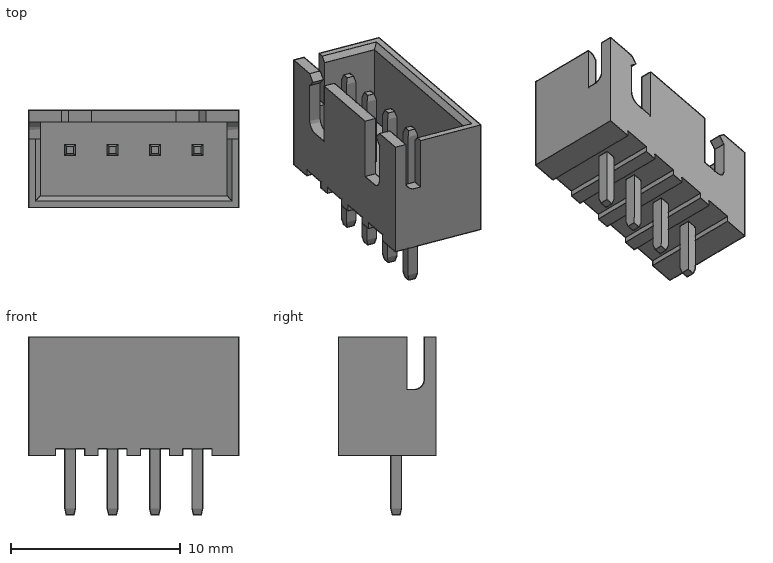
import cadquery as cq


PIN_COUNT = 4
PIN_PITCH = 2.5
PIN_SIZE = 0.64
PIN_TOP = 6.5
PIN_BOTTOM = -3.5
PIN_TIP_HEIGHT = 0.38
TOP_TIP_SIZE = 0.42
BOTTOM_TIP_SIZE = 0.46
PIN_XS = [(i - (PIN_COUNT - 1) / 2) * PIN_PITCH for i in range(PIN_COUNT)]

END_MARGIN = 2.45
FRONT_MARGIN = 3.4
BACK_MARGIN = 2.35
BODY_HEIGHT = 7.0
WALL = 0.7
FLOOR_TOP = 2.0
BODY_LENGTH = (PIN_COUNT - 1) * PIN_PITCH + 2 * END_MARGIN
BODY_END = BODY_LENGTH / 2
INNER_END = BODY_END - WALL
INNER_BACK = BACK_MARGIN - WALL
INNER_FRONT = WALL - FRONT_MARGIN

BEVEL_WIDTH = 0.3
BEVEL_DEPTH = 0.3

END_SLOT_DEPTH = 3.1
BACK_SLOT_DEPTH = 3.7
SLOT_RADIUS = 0.6
END_SLOT_WIDTH = 1.0
BACK_SLOT_WIDTH = 1.75
LATCH_TAB_WIDTH = 1.95
CUT_OVERRUN = 1.0

HOOK_REACH = 0.4
HOOK_TIP_DROP = 0.4
HOOK_HEIGHT = 0.8

NOTCH_WIDTH = 1.7
NOTCH_HEIGHT = 0.4


def box(x_min, x_max, y_min, y_max, z_min, z_max):
    size = (x_max - x_min, y_max - y_min, z_max - z_min)
    return cq.Workplane("XY").box(*size, centered=False).translate((x_min, y_min, z_min))


def shroud():
    body = box(-BODY_END, BODY_END, -FRONT_MARGIN, BACK_MARGIN, 0, BODY_HEIGHT)
    cavity = box(-INNER_END, INNER_END, INNER_FRONT, INNER_BACK, FLOOR_TOP, BODY_HEIGHT)
    return body.cut(cavity)


def lead_in_bevel():
    """Flared cavity mouth along the front and end walls, stopping at the end slots."""
    cavity_depth = INNER_BACK - INNER_FRONT
    centre_y = (INNER_BACK + INNER_FRONT) / 2
    flare = (
        cq.Workplane("XY", origin=(0, centre_y, BODY_HEIGHT - BEVEL_DEPTH))
        .rect(2 * INNER_END, cavity_depth)
        .workplane(offset=BEVEL_DEPTH)
        .rect(2 * (INNER_END + BEVEL_WIDTH), cavity_depth + 2 * BEVEL_WIDTH)
        .loft(ruled=True)
    )
    keep = box(-BODY_END, BODY_END, -FRONT_MARGIN, INNER_BACK - END_SLOT_WIDTH, 0, BODY_HEIGHT)
    return flare.intersect(keep)


def end_slots():
    """Slots that separate the end walls from the back wall, cut along X."""
    cutter = box(
        -BODY_END - CUT_OVERRUN, BODY_END + CUT_OVERRUN,
        INNER_BACK - END_SLOT_WIDTH, INNER_BACK,
        BODY_HEIGHT - END_SLOT_DEPTH, BODY_HEIGHT + CUT_OVERRUN,
    )
    return cutter.edges("|X and >Y and <Z").fillet(SLOT_RADIUS)


def back_slot():
    """Slot in the back wall beside the latch tab at the -X end."""
    x_min = LATCH_TAB_WIDTH - BODY_END
    cutter = box(
        x_min, x_min + BACK_SLOT_WIDTH,
        INNER_BACK, BACK_MARGIN + CUT_OVERRUN,
        BODY_HEIGHT - BACK_SLOT_DEPTH, BODY_HEIGHT + CUT_OVERRUN,
    )
    return cutter.edges("|Y and <X and <Z").fillet(SLOT_RADIUS)


def latch_hook():
    """Pointed hook on the latch tab at the -X end."""
    root_x = LATCH_TAB_WIDTH - BODY_END
    profile = [
        (root_x, BODY_HEIGHT),
        (root_x + HOOK_REACH, BODY_HEIGHT - HOOK_TIP_DROP),
        (root_x, BODY_HEIGHT - HOOK_HEIGHT),
    ]
    return cq.Workplane("XZ", origin=(0, BACK_MARGIN, 0)).polyline(profile).close().extrude(WALL)


def standoff_notch(x):
    half_width = NOTCH_WIDTH / 2
    return box(x - half_width, x + half_width, -FRONT_MARGIN, BACK_MARGIN, 0, NOTCH_HEIGHT)


def pin(x):
    shaft_top = PIN_TOP - PIN_TIP_HEIGHT
    shaft_bottom = PIN_BOTTOM + PIN_TIP_HEIGHT
    shaft = (
        cq.Workplane("XY", origin=(x, 0, shaft_bottom))
        .rect(PIN_SIZE, PIN_SIZE)
        .extrude(shaft_top - shaft_bottom)
    )
    return shaft.union(pin_tip(x, shaft_top, PIN_TIP_HEIGHT, TOP_TIP_SIZE)).union(
        pin_tip(x, shaft_bottom, -PIN_TIP_HEIGHT, BOTTOM_TIP_SIZE)
    )


def pin_tip(x, base_z, rise, end_size):
    return (
        cq.Workplane("XY", origin=(x, 0, base_z))
        .rect(PIN_SIZE, PIN_SIZE)
        .workplane(offset=rise)
        .rect(end_size, end_size)
        .loft(ruled=True)
    )


result = shroud().cut(lead_in_bevel()).cut(end_slots())

slot = back_slot()
result = result.cut(slot).cut(slot.mirror("YZ"))

hook = latch_hook()
result = result.union(hook).union(hook.mirror("YZ"))

for pin_x in PIN_XS:
    result = result.cut(standoff_notch(pin_x))

for pin_x in PIN_XS:
    result = result.union(pin(pin_x))